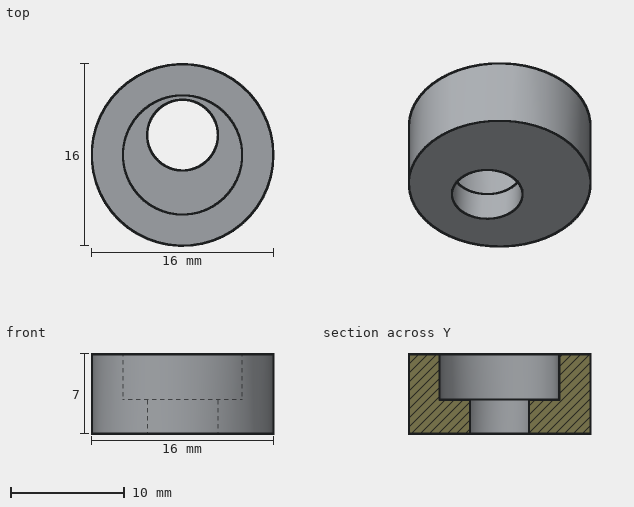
import cadquery as cq

body_diameter = 16.0
body_height = 7.0

pocket_diameter = 10.5
pocket_depth = 4.0

hole_diameter = 6.2
hole_offset = 1.75

body = cq.Workplane("XY").circle(body_diameter / 2).extrude(body_height)

pocketed_body = body.faces(">Z").workplane().hole(pocket_diameter, pocket_depth)

hole_cutter = (
    cq.Workplane("XY")
    .center(0, hole_offset)
    .circle(hole_diameter / 2)
    .extrude(body_height)
)

result = pocketed_body.cut(hole_cutter)